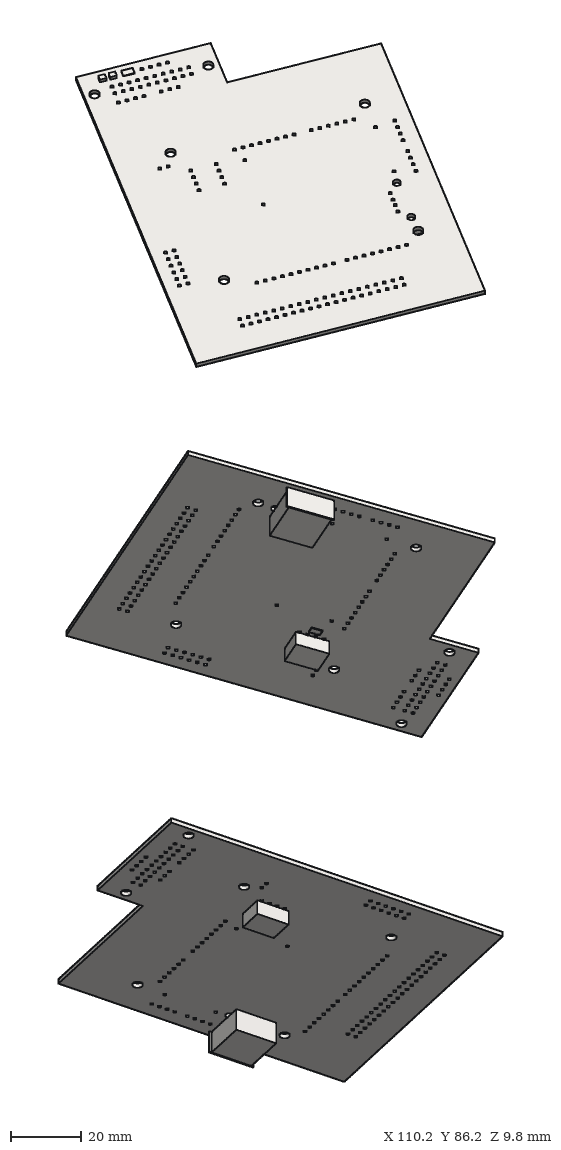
import cadquery as cq


BOARD_LENGTH = 110.2
BOARD_WIDTH = 86.2
BOARD_THICKNESS = 1.5
NOTCH_LENGTH = 15.1
TAB_WIDTH = 40.2
BOARD_BOTTOM = -BOARD_THICKNESS

PIN_HOLE_DIAMETER = 0.92
MARKER_HOLE_DIAMETER = 0.9
USB_PEG_HOLE_DIAMETER = 2.3
MOUNTING_HOLE_DIAMETER = 3.0

LONG_CONNECTOR_PINS = 20
LONG_CONNECTOR_SPAN = 48.3
PITCH = LONG_CONNECTOR_SPAN / (LONG_CONNECTOR_PINS - 1)

USB_CENTER_X = 71.5
USB_FRONT_Y = 84.7
USB_LENGTH = 13.9
USB_BODY_WIDTH = 13.2
USB_HEIGHT = 7.1
USB_BOTTOM = BOARD_BOTTOM - USB_HEIGHT
USB_FLANGE_WIDTH = 14.7
USB_FLANGE_THICKNESS = 0.4
USB_PEG_Y = 74.6
USB_PIN_Y = 71.7
USB_INNER_PIN_OFFSET = 1.0
USB_OUTER_PIN_OFFSET = 3.5

MODULE_PINS_PER_ROW = 4
MODULE_FIRST_PIN_X = 42.6
MODULE_LOWER_ROW_Y = 20.4
MODULE_ROW_SPACING = 3 * PITCH
MODULE_UPPER_ROW_Y = MODULE_LOWER_ROW_Y + MODULE_ROW_SPACING
MODULE_LENGTH = 10.4
MODULE_WIDTH = 8.0
MODULE_HEIGHT = 4.6
MODULE_GAP = 0.4
MODULE_CENTER_X = 46.2
MODULE_CENTER_Y = 24.3

FLAT_CHIP_WIDTH = 2.0
FLAT_CHIP_LENGTH = 3.4
FLAT_CHIP_HEIGHT = 0.3
TOP_CHIP_CENTER = (3.0, 14.5)
BOTTOM_CHIP_CENTER = (MODULE_CENTER_X, 30.4)

TALL_CHIP_LENGTH_X = 1.5
TALL_CHIP_LENGTH_Y = 2.0
TALL_CHIP_HEIGHT = 1.2
TALL_CHIP_CENTERS = [(3.2, 9.9), (3.2, 6.8)]

HEADER_LEFT_X = 39.1
HEADER_RIGHT_X = 87.4
HEADER_TOP_Y = 70.2

PIN_GROUPS = [
    (HEADER_LEFT_X, HEADER_TOP_Y, 1, 6),
    (HEADER_LEFT_X, 52.4, 1, 8),
    (HEADER_LEFT_X, 14.8, 1, 2),
    (HEADER_RIGHT_X, HEADER_TOP_Y, 1, 8),
    (HEADER_RIGHT_X, 48.4, 1, 10),
    (98.6, 65.0, 2, LONG_CONNECTOR_PINS),
    (43.1, 81.1, 4, 1),
    (54.9, 81.1, 4, 1),
    (68.9, 6.8, 6, 2),
    (MODULE_FIRST_PIN_X, MODULE_UPPER_ROW_Y, MODULE_PINS_PER_ROW, 1),
    (MODULE_FIRST_PIN_X, MODULE_LOWER_ROW_Y, MODULE_PINS_PER_ROW, 1),
    (6.5, 31.5, 2, 10),
    (3.0, 26.3, 1, 4),
    (12.5, 26.5, 1, 3),
    (12.6, 16.2, 1, 4),
]

MOUNTING_LEFT_X = 34.6
MOUNTING_RIGHT_X = 83.6
MOUNTING_LOWER_Y = 17.0
MOUNTING_UPPER_Y = 75.0
TAB_MOUNTING_X = 7.6
TAB_MOUNTING_LOWER_Y = 3.1
TAB_MOUNTING_UPPER_Y = 37.0

MARKER_LEFT_X = 43.8
MARKER_RIGHT_X = 60.7
MARKER_LOWER_Y = 36.2
MARKER_UPPER_Y = 75.2


def grid(first_x, first_y, columns, rows):
    """Points at PITCH, running along +X and -Y from the first one."""
    return [
        (first_x + column * PITCH, first_y - row * PITCH)
        for column in range(columns)
        for row in range(rows)
    ]


def rectangle_corners(left, right, lower, upper):
    return [(x, y) for x in (left, right) for y in (lower, upper)]


def drill(body, points, diameter):
    """Cut round through holes from the top face."""
    cutter = (
        cq.Workplane("XY")
        .pushPoints(points)
        .circle(diameter / 2)
        .extrude(BOARD_BOTTOM)
    )
    return body.cut(cutter)


def block(center, length_x, length_y, bottom, height):
    """Rectangular block centred on a point, standing on the height `bottom`."""
    return (
        cq.Workplane("XY", origin=(*center, bottom))
        .rect(length_x, length_y)
        .extrude(height)
    )


def make_board():
    board = (
        cq.Workplane("XY")
        .moveTo(0, 0)
        .lineTo(BOARD_LENGTH, 0)
        .lineTo(BOARD_LENGTH, BOARD_WIDTH)
        .lineTo(NOTCH_LENGTH, BOARD_WIDTH)
        .lineTo(NOTCH_LENGTH, TAB_WIDTH)
        .lineTo(0, TAB_WIDTH)
        .close()
        .extrude(BOARD_BOTTOM)
    )

    pin_points = []
    for group in PIN_GROUPS:
        pin_points += grid(*group)
    for offset in (USB_INNER_PIN_OFFSET, USB_OUTER_PIN_OFFSET):
        pin_points += [(USB_CENTER_X + side * offset, USB_PIN_Y) for side in (-1, 1)]
    board = drill(board, pin_points, PIN_HOLE_DIAMETER)

    marker_points = rectangle_corners(MARKER_LEFT_X, MARKER_RIGHT_X, MARKER_LOWER_Y, MARKER_UPPER_Y)
    board = drill(board, marker_points, MARKER_HOLE_DIAMETER)

    peg_points = [(USB_CENTER_X + side * USB_BODY_WIDTH / 2, USB_PEG_Y) for side in (-1, 1)]
    board = drill(board, peg_points, USB_PEG_HOLE_DIAMETER)

    mounting_points = rectangle_corners(
        MOUNTING_LEFT_X, MOUNTING_RIGHT_X, MOUNTING_LOWER_Y, MOUNTING_UPPER_Y
    )
    mounting_points += [(TAB_MOUNTING_X, y) for y in (TAB_MOUNTING_LOWER_Y, TAB_MOUNTING_UPPER_Y)]
    return drill(board, mounting_points, MOUNTING_HOLE_DIAMETER)


def make_usb_body():
    length = USB_LENGTH - USB_FLANGE_THICKNESS
    center = (USB_CENTER_X, USB_FRONT_Y - USB_FLANGE_THICKNESS - length / 2)
    return block(center, USB_BODY_WIDTH, length, USB_BOTTOM, USB_HEIGHT)


def make_usb_flange():
    center = (USB_CENTER_X, USB_FRONT_Y - USB_FLANGE_THICKNESS / 2)
    return block(center, USB_FLANGE_WIDTH, USB_FLANGE_THICKNESS, USB_BOTTOM, USB_HEIGHT)


def make_module():
    bottom = BOARD_BOTTOM - MODULE_GAP - MODULE_HEIGHT
    center = (MODULE_CENTER_X, MODULE_CENTER_Y)
    return block(center, MODULE_LENGTH, MODULE_WIDTH, bottom, MODULE_HEIGHT)


def make_top_chip():
    return block(TOP_CHIP_CENTER, FLAT_CHIP_WIDTH, FLAT_CHIP_LENGTH, 0, FLAT_CHIP_HEIGHT)


def make_bottom_chip():
    bottom = BOARD_BOTTOM - FLAT_CHIP_HEIGHT
    return block(BOTTOM_CHIP_CENTER, FLAT_CHIP_LENGTH, FLAT_CHIP_WIDTH, bottom, FLAT_CHIP_HEIGHT)


def make_tall_chip(center):
    return block(center, TALL_CHIP_LENGTH_X, TALL_CHIP_LENGTH_Y, 0, TALL_CHIP_HEIGHT)


board = make_board()
usb_body = make_usb_body()
usb_flange = make_usb_flange()
module = make_module()
top_chip = make_top_chip()
bottom_chip = make_bottom_chip()
tall_chips = [make_tall_chip(center) for center in TALL_CHIP_CENTERS]

result = cq.Compound.makeCompound([
    board.val(),
    usb_body.val(),
    usb_flange.val(),
    module.val(),
    top_chip.val(),
    bottom_chip.val(),
    *[chip.val() for chip in tall_chips],
])